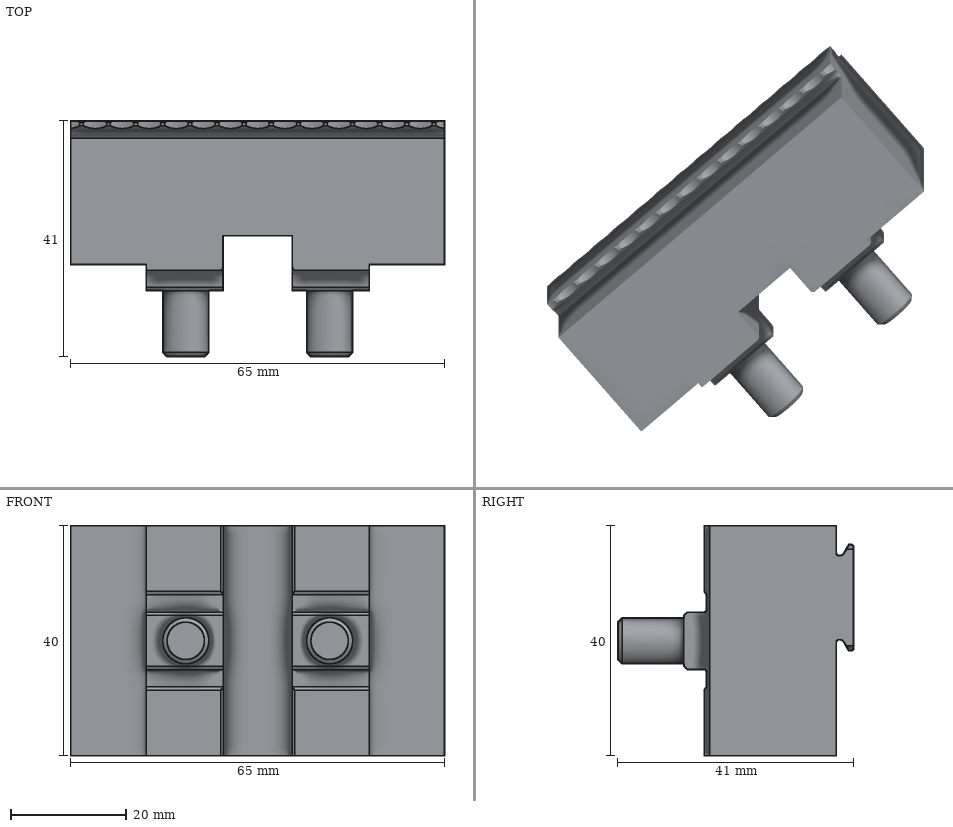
import math

import cadquery as cq

length = 65.0
height = 40.0
pin_tip_y = 0.0
key_front_y = 11.5
pad_front_y = 15.0
body_front_y = 16.0
body_back_y = 38.0
rail_back_y = 41.0

slot_width = 12.0
slot_floor_y = 21.0
pad_width = 13.4
pad_edge_chamfer = 0.4

recess_height = 16.0
recess_depth = 0.4
recess_flare = 0.6

key_height = 10.0
key_chamfer = 0.6
key_root_fillet = 0.4
pin_diameter = 8.0
pin_spacing = 25.0
pin_chamfer = 0.75

rail_center_z = 27.5
rail_neck_height = 14.7
rail_lip_height = 18.5
lip_corner_y = 39.08
lip_angle = 60.0
lip_back_chamfer = 0.3
neck_lip_fillet = 0.75
neck_body_fillet = 0.4

rack_module = 1.5
scallop_pitch = rack_module * math.pi
scallop_radius = 2.75
scallop_depth = 0.9
scallops_each_side = 7

center_x = length / 2
center_z = height / 2
sides = (-1, 1)


def box(x_range, y_range, z_range):
    """Axis-aligned box from its (low, high) limits."""
    size = [high - low for low, high in (x_range, y_range, z_range)]
    low_corner = (x_range[0], y_range[0], z_range[0])
    return cq.Workplane("XY").box(*size, centered=False).translate(low_corner)


def extrude_along_x(points, x_range):
    """Prism with the given (y, z) outline, running along X."""
    outline = cq.Workplane("YZ").polyline(points).close()
    return outline.extrude(x_range[1] - x_range[0]).translate((x_range[0], 0, 0))


def pad_x_range(side):
    """X limits of the pad on one side of the slot."""
    inner = center_x + side * slot_width / 2
    outer = inner + side * pad_width
    return min(inner, outer), max(inner, outer)


def make_body():
    """Block with the slot running its full height."""
    body = box((0, length), (body_front_y, body_back_y), (0, height))
    slot_x_range = (center_x - slot_width / 2, center_x + slot_width / 2)
    return body.cut(box(slot_x_range, (body_front_y, slot_floor_y), (0, height)))


def make_pad(side):
    """Pad with a chamfer along the slot and a flared recess across its middle."""
    pad = box(pad_x_range(side), (pad_front_y, body_front_y), (0, height))
    slot_edge = "<X" if side > 0 else ">X"
    pad = pad.faces(slot_edge).edges("<Y").chamfer(pad_edge_chamfer)

    floor_half = recess_height / 2
    mouth_half = floor_half + recess_flare
    recess = extrude_along_x(
        [
            (pad_front_y, center_z - mouth_half),
            (pad_front_y + recess_depth, center_z - floor_half),
            (pad_front_y + recess_depth, center_z + floor_half),
            (pad_front_y, center_z + mouth_half),
        ],
        pad_x_range(side),
    )
    return pad.cut(recess)


def make_key(side):
    """Key bar with chamfered front edges and concave fillets at its root."""
    half = key_height / 2
    root_half = half + key_root_fillet
    floor_y = pad_front_y + recess_depth
    fillet_start_y = floor_y - key_root_fillet
    chamfer_end_y = key_front_y + key_chamfer
    outline = (
        cq.Workplane("YZ")
        .moveTo(body_front_y, center_z - root_half)
        .lineTo(floor_y, center_z - root_half)
        .radiusArc((fillet_start_y, center_z - half), -key_root_fillet)
        .lineTo(chamfer_end_y, center_z - half)
        .lineTo(key_front_y, center_z - half + key_chamfer)
        .lineTo(key_front_y, center_z + half - key_chamfer)
        .lineTo(chamfer_end_y, center_z + half)
        .lineTo(fillet_start_y, center_z + half)
        .radiusArc((floor_y, center_z + root_half), -key_root_fillet)
        .lineTo(body_front_y, center_z + root_half)
        .close()
    )
    x_low, x_high = pad_x_range(side)
    return outline.extrude(x_high - x_low).translate((x_low, 0, 0))


def make_pin(side):
    """Round pin on the key front, chamfered at its tip."""
    pin = (
        cq.Workplane("XZ", origin=(center_x + side * pin_spacing / 2, pin_tip_y, center_z))
        .circle(pin_diameter / 2)
        .extrude(pin_tip_y - key_front_y)
    )
    return pin.faces("<Y").edges().chamfer(pin_chamfer)


def make_rail():
    """Rail with undercut lips, standing on the back of the body."""
    neck_half = rail_neck_height / 2
    lip_half = rail_lip_height / 2
    lip_front_y = lip_corner_y + (lip_half - neck_half) / math.tan(math.radians(lip_angle))
    upper_half = [
        (body_back_y, neck_half),
        (lip_corner_y, neck_half),
        (lip_front_y, lip_half),
        (rail_back_y - lip_back_chamfer, lip_half),
        (rail_back_y, lip_half - lip_back_chamfer),
    ]
    lower_half = [(y, -z) for y, z in reversed(upper_half)]
    rail = extrude_along_x(upper_half + lower_half, (0, length)).translate((0, 0, rail_center_z))
    for side in sides:
        neck_corner = (center_x, lip_corner_y, rail_center_z + side * neck_half)
        rail = rail.edges(cq.selectors.NearestToPointSelector(neck_corner)).fillet(neck_lip_fillet)
    return rail


def round_rail_root(part):
    """Fillet the two corners where the rail neck meets the body."""
    for side in sides:
        root = (center_x, body_back_y, rail_center_z + side * rail_neck_height / 2)
        part = part.edges(cq.selectors.NearestToPointSelector(root)).fillet(neck_body_fillet)
    return part


def make_scallop(x, side):
    """Round cutter along Y that hollows the lip on one side of the rail."""
    axis_offset = rail_lip_height / 2 - scallop_depth + scallop_radius
    return (
        cq.Workplane("XZ", origin=(x, rail_back_y, rail_center_z + side * axis_offset))
        .circle(scallop_radius)
        .extrude(rail_back_y - body_back_y)
    )


result = make_body().union(make_rail())
result = round_rail_root(result)
for lip_side in sides:
    for step in range(-scallops_each_side, scallops_each_side + 1):
        result = result.cut(make_scallop(center_x + step * scallop_pitch, lip_side))
for pad_side in sides:
    result = result.union(make_pad(pad_side)).union(make_key(pad_side)).union(make_pin(pad_side))